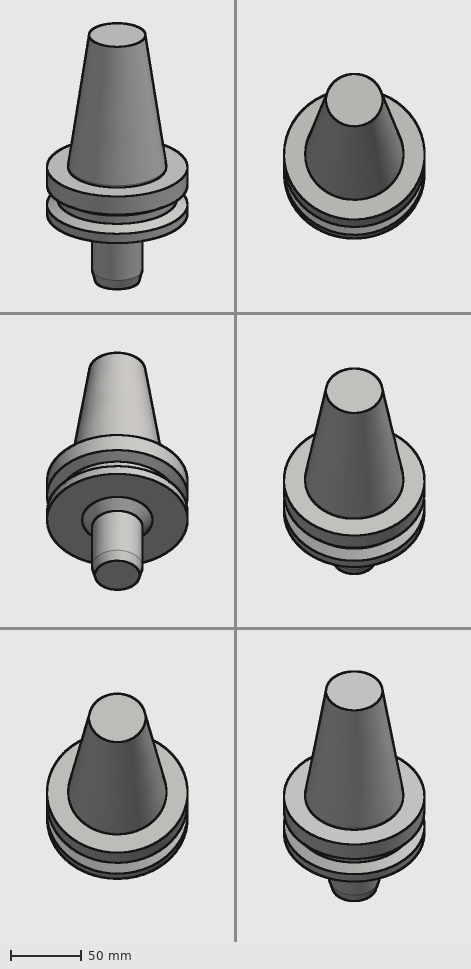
import cadquery as cq
import math


gauge_diameter = 69.85
taper_length = 101.8
taper_ratio = 7 / 24
taper_tip_diameter = gauge_diameter - taper_ratio * taper_length

flange_diameter = 100.0
flange_top_z = -1.5
flange_bottom_z = -38.0

groove_diameter = 85.0
groove_center_z = -23.2
groove_floor_width = 6.4
groove_flank_angle = 30.0
groove_depth = (flange_diameter - groove_diameter) / 2
groove_flank_height = groove_depth * math.tan(math.radians(groove_flank_angle))

nose_diameter = 36.0
nose_bottom_z = -90.0
nose_tip_height = 8.0
nose_tip_angle = 15.0
nose_tip_diameter = nose_diameter - 2 * nose_tip_height * math.tan(math.radians(nose_tip_angle))

neck_height = 7.0
neck_top_diameter = nose_diameter + 2 * neck_height


def cylinder(diameter, top_z, bottom_z):
    """Solid cylinder on the Z axis between two heights."""
    return cq.Workplane("XY").workplane(offset=bottom_z).circle(diameter / 2).extrude(top_z - bottom_z)


def cone(top_diameter, top_z, bottom_diameter, bottom_z):
    """Solid truncated cone on the Z axis between two heights."""
    profile = [
        (0, bottom_z),
        (bottom_diameter / 2, bottom_z),
        (top_diameter / 2, top_z),
        (0, top_z),
    ]
    return cq.Workplane("XZ").polyline(profile).close().revolve(360, (0, 0, 0), (0, 1, 0))


def make_shank():
    """Taper above the gauge plane and the short collar down to the flange."""
    taper = cone(taper_tip_diameter, taper_length, gauge_diameter, 0)
    return taper.union(cylinder(gauge_diameter, 0, flange_top_z))


def make_flange():
    """Flange disc with a flat-bottomed V-groove turned into its rim."""
    disc = cylinder(flange_diameter, flange_top_z, flange_bottom_z)
    floor_half = groove_floor_width / 2
    mouth_half = floor_half + groove_flank_height
    section = [
        (flange_diameter / 2, groove_center_z - mouth_half),
        (groove_diameter / 2, groove_center_z - floor_half),
        (groove_diameter / 2, groove_center_z + floor_half),
        (flange_diameter / 2, groove_center_z + mouth_half),
    ]
    groove = cq.Workplane("XZ").polyline(section).close().revolve(360, (0, 0, 0), (0, 1, 0))
    return disc.cut(groove)


def make_nose():
    """Neck cone, cylindrical nose and tapered tip."""
    neck_bottom_z = flange_bottom_z - neck_height
    tip_top_z = nose_bottom_z + nose_tip_height
    neck = cone(neck_top_diameter, flange_bottom_z, nose_diameter, neck_bottom_z)
    body = cylinder(nose_diameter, neck_bottom_z, tip_top_z)
    tip = cone(nose_diameter, tip_top_z, nose_tip_diameter, nose_bottom_z)
    return neck.union(body).union(tip)


result = make_shank().union(make_flange()).union(make_nose())